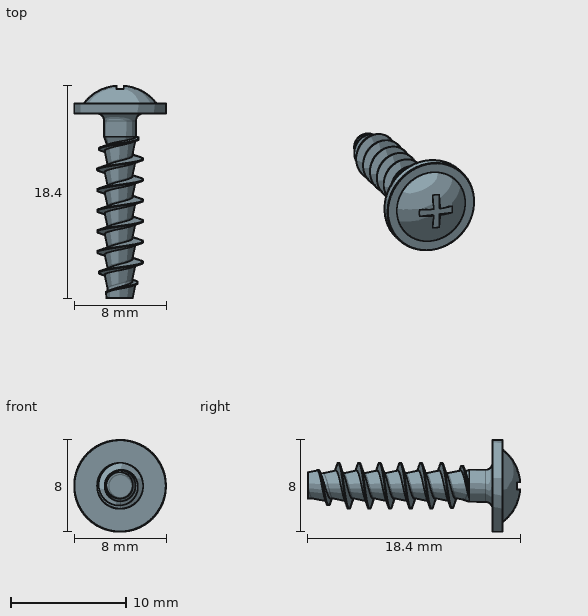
import math

import cadquery as cq


flange_diameter = 8.0
flange_thickness = 0.9
flange_edge_chamfer = 0.05
head_height = 2.45
dome_base_diameter = 6.3
slot_width = 0.6
slot_floor = 2.15

shank_length = 16.0
tip_dimple_radius = 1.0
tip_dimple_depth = 0.1
neck_length = 2.0
neck_radius = 1.4
neck_fillet = 0.6
runout_length = 0.8

pitch = 1.79
crest_radius = 2.0
crest_width = 0.08
flank_slope = 0.3
core_min_radius = 1.1
core_max_radius = 1.34
first_crest_depth = 1.71
start_crest_radius = 1.6
start_taper_end = 3.7
tip_crest_radius = 1.1
tip_taper_start = 13.35

overlap = 0.12
turn_gap = 0.03
taper_sink = 0.012
points_per_turn = 24
least_tooth_height = 0.02


def make_head_and_neck():
    """Revolve the domed flange and the filleted neck, with its cone down to the core, about Y."""
    flange_radius = flange_diameter / 2
    dome_base_radius = dome_base_diameter / 2
    dome_rise = head_height - flange_thickness
    dome_radius = (dome_base_radius**2 + dome_rise**2) / (2 * dome_rise)
    middle_x = dome_base_radius / 2
    middle_y = head_height - dome_radius + math.sqrt(dome_radius**2 - middle_x**2)
    fillet_middle = neck_fillet * (1 - math.sqrt(0.5))
    chamfer = flange_edge_chamfer
    return (
        cq.Workplane("XY")
        .moveTo(0, -neck_length - runout_length)
        .lineTo(core_min_radius, -neck_length - runout_length)
        .lineTo(neck_radius, -neck_length)
        .lineTo(neck_radius, -neck_fillet)
        .threePointArc(
            (neck_radius + fillet_middle, -fillet_middle),
            (neck_radius + neck_fillet, 0),
        )
        .lineTo(flange_radius - chamfer, 0)
        .lineTo(flange_radius, chamfer)
        .lineTo(flange_radius, flange_thickness - chamfer)
        .lineTo(flange_radius - chamfer, flange_thickness)
        .lineTo(dome_base_radius, flange_thickness)
        .threePointArc((middle_x, middle_y), (0, head_height))
        .close()
        .revolve(360, (0, 0, 0), (0, 1, 0))
    )


def make_cross_slots():
    """Two crossing shallow slots over the crown of the dome."""
    slot_depth = head_height - slot_floor
    center_y = slot_floor + slot_depth / 2
    along_x = cq.Workplane("XY").box(flange_diameter, slot_depth, slot_width)
    along_z = cq.Workplane("XY").box(slot_width, slot_depth, flange_diameter)
    return along_x.union(along_z).translate((0, center_y, 0))


def make_cylinder(radius, start_depth, end_depth):
    """Cylinder about Y between two depths below the bearing face."""
    return (
        cq.Workplane("XZ", origin=(0, -start_depth, 0))
        .circle(radius)
        .extrude(end_depth - start_depth)
    )


def make_tip_dimple():
    """Shallow spherical hollow in the tip face."""
    sphere_radius = (tip_dimple_radius**2 + tip_dimple_depth**2) / (2 * tip_dimple_depth)
    center_depth = shank_length - tip_dimple_depth + sphere_radius
    return cq.Workplane("XY").sphere(sphere_radius).translate((0, -center_depth, 0))


def crest_radius_at(depth):
    """Crest radius, tapering down at both ends of the thread."""
    start_share = (depth - neck_length) / (start_taper_end - neck_length)
    tip_share = (shank_length - depth) / (shank_length - tip_taper_start)
    start_radius = start_crest_radius + start_share * (crest_radius - start_crest_radius)
    tip_radius = tip_crest_radius + tip_share * (crest_radius - tip_crest_radius)
    return min(crest_radius, start_radius, tip_radius)


def thread_section(depth):
    """(radius, depth) corners of one tooth and the core taper behind it."""
    inner_radius = core_min_radius - overlap
    crest = max(crest_radius_at(depth), core_min_radius)
    core_rear = min(core_max_radius, crest - least_tooth_height)
    crest_front = depth - crest_width / 2
    crest_rear = depth + crest_width / 2
    next_tooth_front = crest_front - flank_slope * (crest_radius - inner_radius) + pitch
    taper_end = next_tooth_front - turn_gap
    return [
        (inner_radius, crest_front - flank_slope * (crest - inner_radius)),
        (crest, crest_front),
        (crest, crest_rear),
        (core_rear, crest_rear + flank_slope * (crest - core_rear)),
        (core_min_radius - taper_sink, taper_end),
        (inner_radius, taper_end),
    ]


def section_points(turn):
    """Section corners in space, a number of turns after the start of the thread."""
    angle = 2 * math.pi * turn
    section = thread_section(first_crest_depth + pitch * (turn - 1))
    return [
        cq.Vector(radius * math.sin(angle), -depth, -radius * math.cos(angle))
        for radius, depth in section
    ]


def make_end_face(turn):
    """Flat face closing the thread in a plane through the screw axis."""
    return cq.Face.makeFromWires(cq.Wire.makePolygon(section_points(turn), close=True))


def make_thread():
    """Solid bounded by ruled faces between the helices traced by the section corners."""
    last_turn = math.ceil((shank_length - first_crest_depth) / pitch) + 2
    faces = [make_end_face(0), make_end_face(last_turn)]
    for first_turn in range(last_turn):
        turns = [first_turn + step / points_per_turn for step in range(points_per_turn + 1)]
        corner_paths = zip(*[section_points(turn) for turn in turns])
        helices = [cq.Edge.makeSpline(list(path)) for path in corner_paths]
        for i, helix in enumerate(helices):
            faces.append(cq.Face.makeRuledSurface(helix, helices[i - 1]))
    return cq.Workplane("XY").newObject([cq.Solid.makeSolid(cq.Shell.makeShell(faces))])


head = make_head_and_neck().cut(make_cross_slots())
core = make_cylinder(core_min_radius, neck_length, shank_length)
thread_room = make_cylinder(flange_diameter / 2, neck_length, shank_length)
thread = make_thread().intersect(thread_room)
result = core.union(thread).union(head).cut(make_tip_dimple())